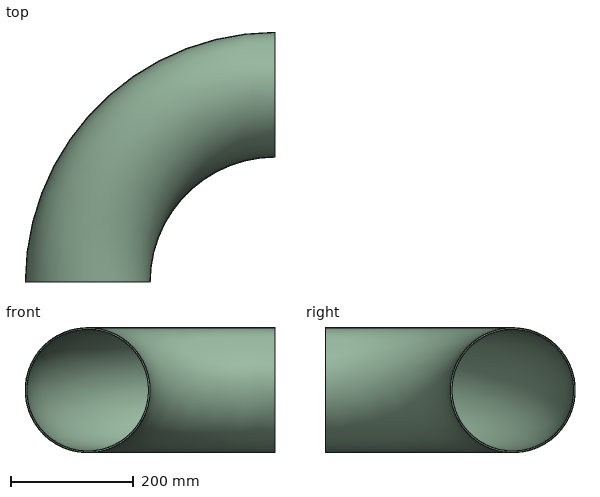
import cadquery as cq

INCH = 25.4
outer_diameter = 8 * INCH
wall_thickness = 0.109 * INCH
bend_radius = 1.5 * outer_diameter
bend_angle = 90

outer_radius = outer_diameter / 2
inner_radius = outer_radius - wall_thickness


def tube_elbow():
    """Sweep the tube's ring section about the Z-parallel bend axis.

    The open end facing -Y is centred on the origin; the other faces +X.
    """
    ring = cq.Workplane("XZ").circle(outer_radius).circle(inner_radius)
    axis_start = (bend_radius, 0)
    axis_end = (bend_radius, -1)
    return ring.revolve(bend_angle, axis_start, axis_end)


result = tube_elbow()